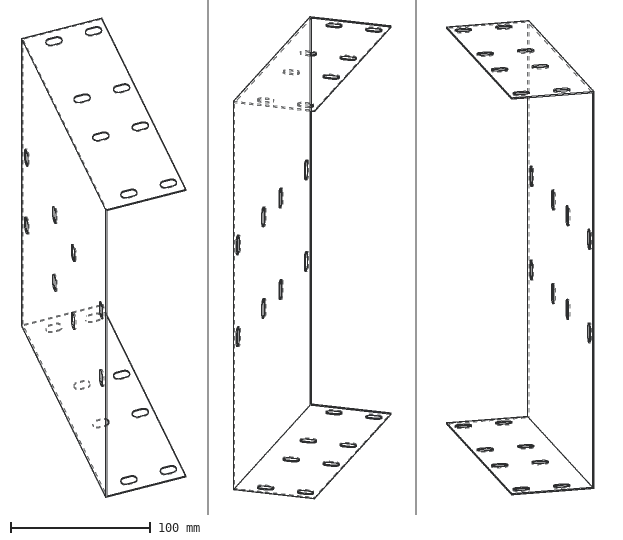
import cadquery as cq

width = 180.0
depth = 60.8
height = 296.7
sheet = 1.0

slot_width = 6.8
outer_slot_spacing = 160.2
inner_slot_spacing = 40.0

web_slot_length = 14.8
web_row_spacing = 70.0

flange_slot_length = 12.0
flange_row_spacing = 30.0
flange_row_edge_distance = 9.8

slot_columns = [
    side * spacing / 2
    for spacing in (outer_slot_spacing, inner_slot_spacing)
    for side in (-1, 1)
]


def channel():
    """U-shaped sheet: upright web at the front (y = 0), flanges pointing to +Y."""
    block = cq.Workplane("XY").box(width, depth, height, centered=(True, False, True))
    hollow = cq.Workplane("XY").box(
        width, depth - sheet, height - 2 * sheet, centered=(True, False, True)
    )
    return block.cut(hollow.translate((0, sheet, 0)))


def slot_cutters(plane, rows, length, reach):
    """Slots at every column and row, long at right angles to X, extruded by reach to both sides."""
    centres = [(x, row) for x in slot_columns for row in rows]
    slots = cq.Workplane(plane).pushPoints(centres).slot2D(length, slot_width, 90)
    return slots.extrude(reach, both=True)


web_rows = [-web_row_spacing / 2, web_row_spacing / 2]
rear_row = depth - flange_row_edge_distance
flange_rows = [rear_row - flange_row_spacing, rear_row]

web_slots = slot_cutters("XZ", web_rows, web_slot_length, depth)
flange_slots = slot_cutters("XY", flange_rows, flange_slot_length, height)

result = channel().cut(web_slots).cut(flange_slots)